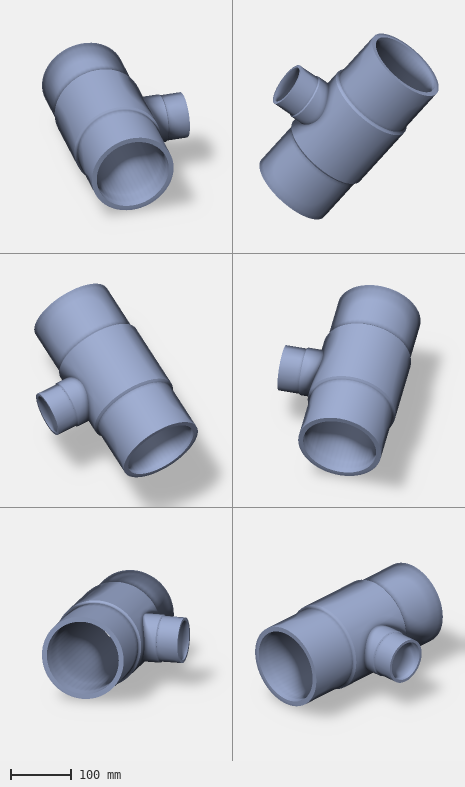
import cadquery as cq

run_length = 300.0
run_diameter = 140.0
bore_diameter = 123.3

body_length = 127.8
body_diameter = 148.2
body_chamfer = 4.5

branch_reach = 130.0
branch_diameter = 75.5
branch_bore_diameter = 66.0
collar_reach = 94.5
collar_diameter = 79.5
collar_chamfer = 1.8


def run_cylinder(diameter, length):
    """Cylinder along X, centred on the origin."""
    return cq.Workplane("YZ").circle(diameter / 2).extrude(length / 2, both=True)


def branch_cylinder(diameter, reach):
    """Cylinder from the run axis out to the given reach along +Y."""
    return cq.Workplane("XZ").circle(diameter / 2).extrude(-reach)


run_pipe = run_cylinder(run_diameter, run_length)
body = run_cylinder(body_diameter, body_length).edges().chamfer(body_chamfer)
branch_pipe = branch_cylinder(branch_diameter, branch_reach)
collar = branch_cylinder(collar_diameter, collar_reach).faces(">Y").edges().chamfer(collar_chamfer)
outer = run_pipe.union(body).union(branch_pipe).union(collar)

run_bore = run_cylinder(bore_diameter, run_length)
branch_bore = branch_cylinder(branch_bore_diameter, branch_reach)
result = outer.cut(run_bore).cut(branch_bore)